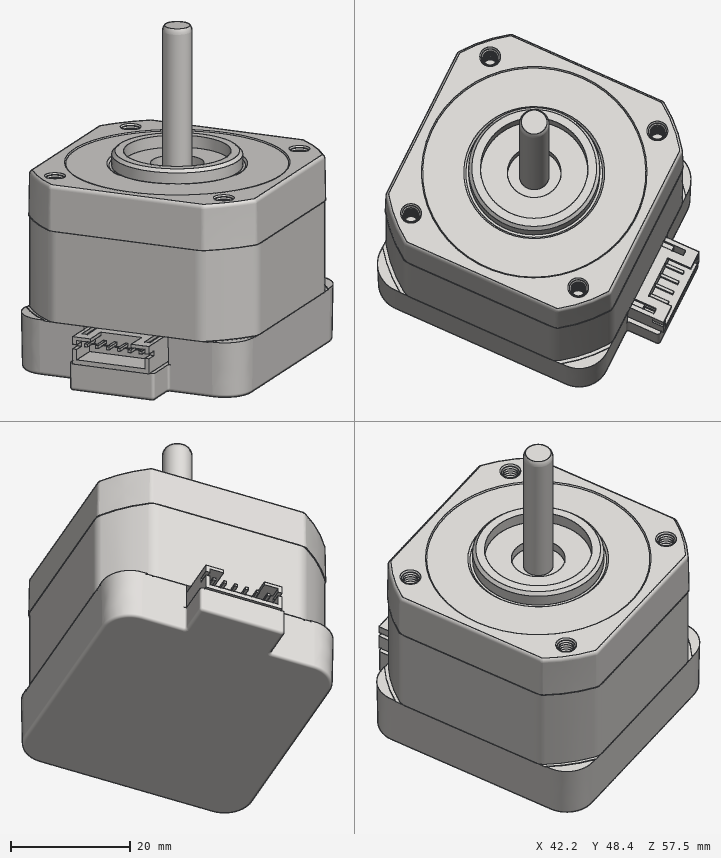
import cadquery as cq
import math


total_height = 57.46
shaft_length = 24.0
boss_height = 2.0
cover_top = total_height - shaft_length
boss_top = cover_top + boss_height
stator_bottom = 9.6
stator_top = 25.5

stator_width = 42.2
stator_corner_radius = 25.15
stator_blend = 3.0

cover_width = 42.0
cover_corner_radius = 25.3
cover_blend = 1.1
cover_draft = 1.0
cover_edge_height = 0.75
cover_edge_radius = 0.83
face_recess_radius = 18.9
face_recess_depth = 0.2
face_recess_slope = 0.2

boss_radius = 11.0
boss_chamfer = 0.55
groove_top_radius = 11.8
groove_floor_radius = 11.45
groove_depth = 0.55
bearing_recess_radius = 9.0
bearing_recess_depth = 2.1
shaft_bore_radius = 4.5
shaft_bore_depth = 1.6

shaft_radius = 2.5
shaft_tip_radius = 2.15
shaft_tip_height = 1.0

hole_pitch = 31.0
thread_minor_radius = 1.25
thread_major_radius = 1.5
thread_pitch = 0.5
thread_turns = 9
thread_lead_in = 0.1
hole_mouth_radius = 1.75

rear_width = 42.06
rear_corner_radius = 5.2
rear_draft = 1.0
rear_rim_height = 0.15
rear_seat_radius = 25.8
rear_edge_radius = 0.55

shroud_width = 15.5
shroud_height = 4.8
shroud_front = 26.83
shroud_root_fillet = 0.4
shroud_front_fillet = 0.5
opening_depth = 2.0

connector_front = 27.25
connector_width = 14.0
cavity_width = 12.5
cavity_floor = 5.62
cavity_roof = 9.0
cavity_back = 22.96
top_window_width = 7.5
ledge_height = 7.45
ledge_drop = 0.5
ledge_run = 1.0
key_slot_width = 1.0
key_slot_front = 25.1
notch_bottom = 7.45
notch_top = 8.25
notch_depth = 2.05
pin_count = 6
pin_spacing = 2.0
pin_size = 0.5
pin_tip = 26.25


def box(x_min, x_max, y_min, y_max, z_min, z_max):
    """Axis-aligned box between the given limits."""
    size = (x_max - x_min, y_max - y_min, z_max - z_min)
    return cq.Workplane("XY").box(*size, centered=False).translate((x_min, y_min, z_min))


def rounded_square(width, corner_radius, blend, height):
    """Square prism turned to a corner radius, with the corner edges blended."""
    square = cq.Workplane("XY").rect(width, width).extrude(height)
    turned = square.intersect(cq.Workplane("XY").circle(corner_radius).extrude(height))
    return turned.edges("|Z").fillet(blend)


def make_rear_cover():
    """Drafted cover with the connector shroud and a round-rimmed seat for the stator."""
    height = stator_bottom + rear_rim_height
    cover = (
        cq.Workplane("XY")
        .workplane(offset=height)
        .sketch()
        .rect(rear_width, rear_width)
        .vertices()
        .fillet(rear_corner_radius)
        .finalize()
        .extrude(-height, taper=rear_draft)
    )
    half = shroud_width / 2
    shroud = box(-half, half, -shroud_front, -rear_width / 4, 0, shroud_height)
    shroud = shroud.edges("|Z and <Y").fillet(shroud_front_fillet)
    cover = cover.union(shroud)
    root_corners = cq.selectors.BoxSelector(
        (-half - shroud_root_fillet, -rear_width / 2 - shroud_root_fillet, 0),
        (half + shroud_root_fillet, shroud_root_fillet - rear_width / 2, shroud_height),
    )
    cover = cover.edges(root_corners).edges("not #Z").fillet(shroud_root_fillet)
    cover = cover.faces("<Z").edges().fillet(rear_edge_radius)
    seat = cq.Workplane("XY").workplane(offset=stator_bottom).circle(rear_seat_radius)
    seat = seat.extrude(rear_rim_height)
    opening_back = opening_depth - rear_width / 2
    opening = box(-half, half, -rear_width / 2, opening_back, shroud_height, height)
    return cover.cut(seat).cut(opening)


def make_stator():
    body = rounded_square(stator_width, stator_corner_radius, stator_blend, stator_top - stator_bottom)
    return body.translate((0, 0, stator_bottom))


def make_front_cover():
    """Drafted cover whose rounded top edge is cut off by the mounting face."""
    height = cover_top - stator_top
    full_height = height + cover_edge_radius - cover_edge_height
    prism = rounded_square(cover_width, cover_corner_radius, cover_blend, full_height)
    outline = prism.faces("<Z").wires().vals()
    body = cq.Workplane("XY").newObject(outline).toPending().extrude(full_height, taper=cover_draft)
    body = body.faces(">Z").edges().fillet(cover_edge_radius)
    body = body.intersect(cq.Workplane("XY").rect(stator_width, stator_width).extrude(height))
    return body.translate((0, 0, stator_top))


def revolve_profile(profile):
    """Turn a closed radius-height profile about the Z axis."""
    return profile.close().revolve(360, (0, 0, 0), (0, 1, 0))


def make_face_recess():
    """Shallow turned recess with a deeper ring groove around the pilot boss."""
    recess_floor = cover_top - face_recess_depth
    profile = (
        cq.Workplane("XZ")
        .moveTo(boss_radius, cover_top)
        .lineTo(boss_radius, cover_top - groove_depth)
        .lineTo(groove_floor_radius, cover_top - groove_depth)
        .lineTo(groove_top_radius, recess_floor)
        .lineTo(face_recess_radius - face_recess_slope, recess_floor)
        .lineTo(face_recess_radius, cover_top)
    )
    return revolve_profile(profile)


def make_boss():
    boss = cq.Workplane("XY").workplane(offset=stator_top).circle(boss_radius).extrude(boss_top - stator_top)
    return boss.faces(">Z").edges().chamfer(boss_chamfer)


def make_bearing_recess():
    recess_floor = boss_top - bearing_recess_depth
    recess = cq.Workplane("XY").workplane(offset=recess_floor).circle(bearing_recess_radius)
    recess = recess.extrude(bearing_recess_depth)
    bore = cq.Workplane("XY").workplane(offset=recess_floor - shaft_bore_depth).circle(shaft_bore_radius)
    return recess.union(bore.extrude(shaft_bore_depth))


def make_shaft():
    """Shaft whose tip is rounded by an arc tangent to its side."""
    inset = shaft_radius - shaft_tip_radius
    tip_arc_radius = (shaft_tip_height**2 + inset**2) / (2 * inset)
    half_angle = math.asin(shaft_tip_height / tip_arc_radius) / 2
    arc_start = total_height - shaft_tip_height
    arc_middle = (
        shaft_radius - tip_arc_radius * (1 - math.cos(half_angle)),
        arc_start + tip_arc_radius * math.sin(half_angle),
    )
    profile = (
        cq.Workplane("XZ")
        .moveTo(0, stator_top)
        .lineTo(shaft_radius, stator_top)
        .lineTo(shaft_radius, arc_start)
        .threePointArc(arc_middle, (shaft_tip_radius, total_height))
        .lineTo(0, total_height)
    )
    return revolve_profile(profile)


def make_threaded_hole():
    """Countersunk hole with ring-shaped thread grooves."""
    mouth_bottom = cover_top - (hole_mouth_radius - thread_major_radius)
    thread_top = mouth_bottom - thread_lead_in
    hole_bottom = thread_top - thread_turns * thread_pitch
    profile = cq.Workplane("XZ").moveTo(0, cover_top).lineTo(hole_mouth_radius, cover_top)
    profile = profile.lineTo(thread_major_radius, mouth_bottom)
    for turn in range(thread_turns):
        turn_top = thread_top - turn * thread_pitch
        profile = profile.lineTo(thread_major_radius, turn_top)
        profile = profile.lineTo(thread_minor_radius, turn_top - thread_pitch / 2)
    profile = profile.lineTo(thread_minor_radius, hole_bottom).lineTo(0, hole_bottom)
    return revolve_profile(profile)


def make_connector():
    """Open-fronted pin housing standing on the shroud."""
    half = connector_width / 2
    back = rear_width / 2 - opening_depth
    housing = box(-half, half, -connector_front, -back, shroud_height, stator_bottom)

    cavity_half = cavity_width / 2
    cavity = box(-cavity_half, cavity_half, -connector_front, -cavity_back, cavity_floor, cavity_roof)
    window_half = top_window_width / 2
    window = box(-window_half, window_half, -connector_front, -cavity_back, cavity_roof, stator_bottom)
    undercut = (
        cq.Workplane("YZ")
        .moveTo(-cavity_back, cavity_floor)
        .lineTo(-cavity_back, ledge_height)
        .lineTo(ledge_run - cavity_back, ledge_height - ledge_drop)
        .lineTo(ledge_run - cavity_back, cavity_floor)
        .close()
        .extrude(cavity_half, both=True)
    )
    notch = box(-half, half, -connector_front, notch_depth - connector_front, notch_bottom, notch_top)
    housing = housing.cut(cavity).cut(window).cut(undercut).cut(notch)

    for slot_start in (-cavity_half, cavity_half - key_slot_width):
        slot_end = slot_start + key_slot_width
        slot = box(slot_start, slot_end, -key_slot_front, -back, cavity_roof, stator_bottom)
        housing = housing.cut(slot)

    for index in range(pin_count):
        pin_left = (index - (pin_count - 1) / 2) * pin_spacing - pin_size / 2
        pin = box(pin_left, pin_left + pin_size, -pin_tip, -back, notch_top - pin_size, notch_top)
        housing = housing.union(pin)
    return housing


motor = make_front_cover().cut(make_face_recess()).union(make_boss()).cut(make_bearing_recess())
threaded_hole = make_threaded_hole()
for x_side in (-1, 1):
    for y_side in (-1, 1):
        motor = motor.cut(threaded_hole.translate((x_side * hole_pitch / 2, y_side * hole_pitch / 2, 0)))
motor = motor.union(make_shaft()).union(make_stator()).union(make_rear_cover())
result = motor.union(make_connector())